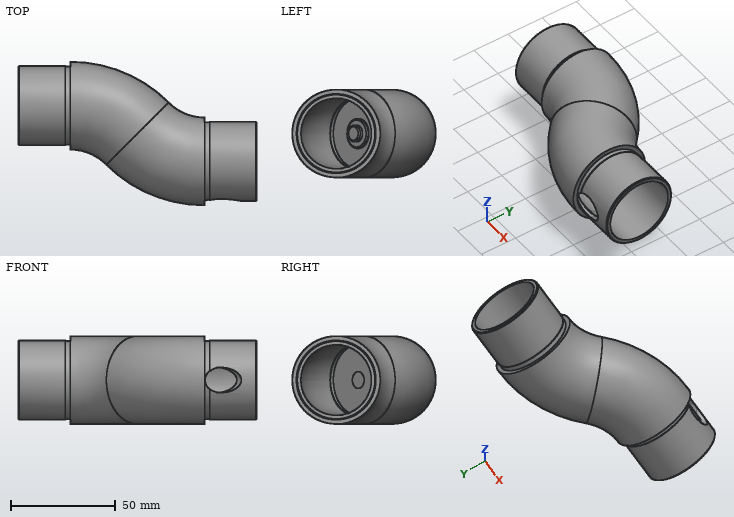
import cadquery as cq
import math

overall_length = 114.5
bend_radius = 45.7
bend_angle = 45.0
tube_radius = 21.2
bore_radius = 17.0

spigot_radius = 19.1
spigot_chamfer = 0.5
neck_radius = 18.9
neck_length = 2.5

wall_thickness = 3.9
recess_depth = 2.3

pin_radius = 4.0
pin_tip = 7.2
pin_chamfer = 0.7
collar_radius = 7.2
collar_height = 1.1
collar_chamfer = 0.7

access_diameter = 12.1
access_x = 41.3

half_angle = math.radians(bend_angle)
bend_end_x = bend_radius * math.sin(half_angle)
axis_offset = bend_radius * (1 - math.cos(half_angle))
spigot_length = overall_length / 2 - bend_end_x
joint_normal = (-math.cos(half_angle), math.sin(half_angle), 0)
tip_face = cq.selectors.DirectionMinMaxSelector(cq.Vector(*joint_normal))


def joint_plane(distance):
    """Plane parallel to the joint, shifted into the first elbow."""
    origin = tuple(distance * component for component in joint_normal)
    return cq.Plane(origin=origin, xDir=(0, 0, 1), normal=joint_normal)


def bend(radius):
    """Solid torus segment from the first elbow's spigot end to the joint."""
    end_plane = cq.Plane(origin=(-bend_end_x, axis_offset, 0), xDir=(0, 1, 0), normal=(1, 0, 0))
    return (
        cq.Workplane(end_plane)
        .circle(radius)
        .revolve(bend_angle, (-bend_radius, 1.1, 0), (-bend_radius, 0, 0))
    )


def along_x(radius, start_x, length):
    """Cylinder on the first spigot's axis, running toward -X."""
    plane = cq.Plane(origin=(start_x, axis_offset, 0), xDir=(0, 1, 0), normal=(-1, 0, 0))
    return cq.Workplane(plane).circle(radius).extrude(length)


def make_elbow():
    """Elbow on the -X side, closed by an end wall with a pin hole."""
    neck = along_x(neck_radius, -bend_end_x, neck_length)
    spigot = along_x(spigot_radius, -bend_end_x - neck_length, spigot_length - neck_length)
    spigot = spigot.faces("<X").chamfer(spigot_chamfer)
    body = bend(tube_radius).union(neck).union(spigot)

    wall_zone = cq.Workplane(joint_plane(0)).circle(tube_radius).extrude(wall_thickness)
    curved_bore = bend(bore_radius).cut(wall_zone)
    straight_bore = along_x(bore_radius, -bend_end_x, spigot_length)
    recess = cq.Workplane(joint_plane(wall_thickness)).circle(bore_radius).extrude(recess_depth)
    pin_hole = cq.Workplane(joint_plane(0)).circle(pin_radius).extrude(wall_thickness)
    return body.cut(curved_bore).cut(straight_bore).cut(recess).cut(pin_hole)


def make_access_elbow():
    """Second elbow: the first turned half round about Z, with the access hole."""
    elbow = make_elbow().rotate((0, 0, 0), (0, 0, 1), 180)
    hole_plane = cq.Plane(
        origin=(access_x, -axis_offset - spigot_radius, 0), xDir=(0, 0, 1), normal=joint_normal
    )
    hole = cq.Workplane(hole_plane).circle(access_diameter / 2).extrude(spigot_radius, both=True)
    return elbow.cut(hole)


def make_pin():
    """Pin flush with the second end wall, with a collar resting on the first."""
    shank = cq.Workplane(joint_plane(-wall_thickness)).circle(pin_radius).extrude(wall_thickness + pin_tip)
    shank = shank.faces(tip_face).chamfer(pin_chamfer)
    collar = cq.Workplane(joint_plane(wall_thickness)).circle(collar_radius).extrude(collar_height)
    collar = collar.faces(tip_face).chamfer(collar_chamfer)
    return shank.union(collar)


elbow = make_elbow()
access_elbow = make_access_elbow()
pin = make_pin()

result = cq.Compound.makeCompound([elbow.val(), access_elbow.val(), pin.val()])